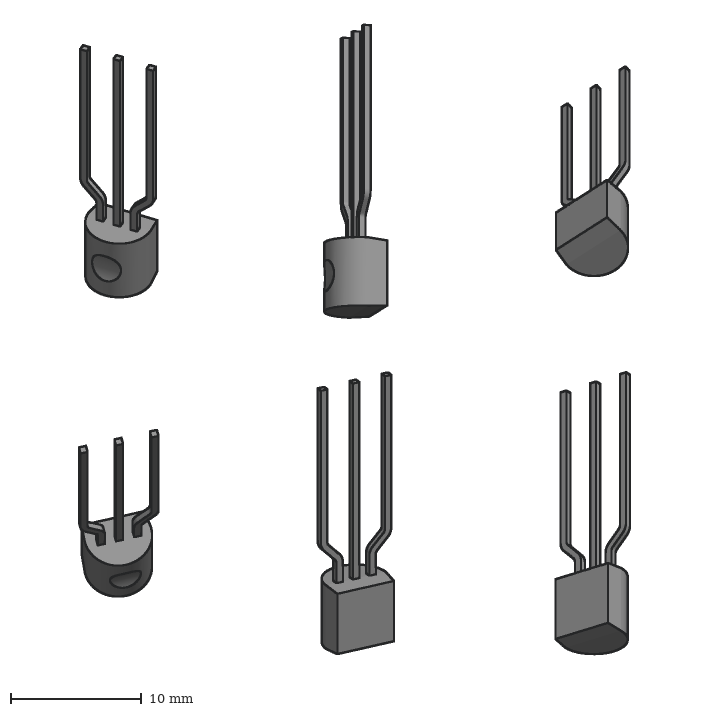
import cadquery as cq
import math

TOTAL_HEIGHT = 21.77
BODY_HEIGHT = 5.33
BODY_RADIUS = 2.61
BACK_DEPTH = 1.57
PARTING_Y = 0.05
DRAFT_ANGLE = 5.0

DIMPLE_RADIUS = 1.22

LEAD_WIDTH = 0.57
LEAD_THICKNESS = 0.55
LEAD_BACK_Y = 0.07
LEAD_SPAN = 6.16
ROOT_PITCH = 1.44
BEND_ANGLE = 45.0
BEND_INNER_RADIUS = 0.45
BEND_OUTER_RADIUS = BEND_INNER_RADIUS + LEAD_WIDTH
LOWER_BEND_Z = BODY_HEIGHT + 1.98

TIP_PITCH = (LEAD_SPAN - LEAD_WIDTH) / 2
UPPER_BEND_Z = LOWER_BEND_Z + (TIP_PITCH - ROOT_PITCH) / math.tan(math.radians(BEND_ANGLE))


def make_housing():
    """Half-round front, drafted back and a scooped dimple."""
    front = (
        cq.Workplane("XY")
        .moveTo(-BODY_RADIUS, PARTING_Y)
        .lineTo(-BODY_RADIUS, 0)
        .threePointArc((0, -BODY_RADIUS), (BODY_RADIUS, 0))
        .lineTo(BODY_RADIUS, PARTING_Y)
        .close()
        .extrude(BODY_HEIGHT)
    )
    back = (
        cq.Workplane("XZ", origin=(0, PARTING_Y, BODY_HEIGHT / 2))
        .rect(2 * BODY_RADIUS, BODY_HEIGHT)
        .extrude(PARTING_Y - BACK_DEPTH, taper=DRAFT_ANGLE)
    )
    return front.union(back).cut(make_dimple_cutter())


def make_dimple_cutter():
    """Cylinder along X; sharing the housing radius makes the dimple outline a circle."""
    rim_sag = BODY_RADIUS - math.sqrt(BODY_RADIUS**2 - DIMPLE_RADIUS**2)
    axis_y = rim_sag - 2 * BODY_RADIUS
    return (
        cq.Workplane("YZ")
        .center(axis_y, BODY_HEIGHT / 2)
        .circle(BODY_RADIUS)
        .extrude(BODY_RADIUS, both=True)
    )


def make_centre_lead():
    """Straight lead standing on the top of the housing."""
    return (
        cq.Workplane("XY", origin=(0, LEAD_BACK_Y - LEAD_THICKNESS / 2, BODY_HEIGHT))
        .rect(LEAD_WIDTH, LEAD_THICKNESS)
        .extrude(TOTAL_HEIGHT - BODY_HEIGHT)
    )


def make_outer_lead(side):
    """Lead cranked outwards; side is -1 for the left lead and 1 for the right."""
    half_width = LEAD_WIDTH / 2
    inner_root = side * (ROOT_PITCH - half_width)
    outer_root = side * (ROOT_PITCH + half_width)
    inner_tip = side * (TIP_PITCH - half_width)
    outer_tip = side * (TIP_PITCH + half_width)
    corner_shift = half_width * math.tan(math.radians(BEND_ANGLE / 2))
    lower_inner = (inner_root, LOWER_BEND_Z + corner_shift)
    lower_outer = (outer_root, LOWER_BEND_Z - corner_shift)
    upper_inner = (inner_tip, UPPER_BEND_Z + corner_shift)
    upper_outer = (outer_tip, UPPER_BEND_Z - corner_shift)
    lead = (
        cq.Workplane("XZ", origin=(0, LEAD_BACK_Y, 0))
        .moveTo(inner_root, BODY_HEIGHT)
        .lineTo(*lower_inner)
        .lineTo(*upper_inner)
        .lineTo(inner_tip, TOTAL_HEIGHT)
        .lineTo(outer_tip, TOTAL_HEIGHT)
        .lineTo(*upper_outer)
        .lineTo(*lower_outer)
        .lineTo(outer_root, BODY_HEIGHT)
        .close()
        .extrude(LEAD_THICKNESS)
    )
    lead = round_corners(lead, [lower_outer, upper_inner], BEND_INNER_RADIUS)
    return round_corners(lead, [lower_inner, upper_outer], BEND_OUTER_RADIUS)


def round_corners(lead, corners, radius):
    """Fillet the edges along Y that stand at the given (x, z) corners."""
    middle_y = LEAD_BACK_Y - LEAD_THICKNESS / 2
    for x, z in corners:
        lead = lead.edges(cq.NearestToPointSelector((x, middle_y, z))).fillet(radius)
    return lead


housing = make_housing()
centre_lead = make_centre_lead()
outer_leads = [make_outer_lead(side) for side in (-1, 1)]

result = cq.Compound.makeCompound(
    [housing.val(), centre_lead.val(), *[lead.val() for lead in outer_leads]]
)